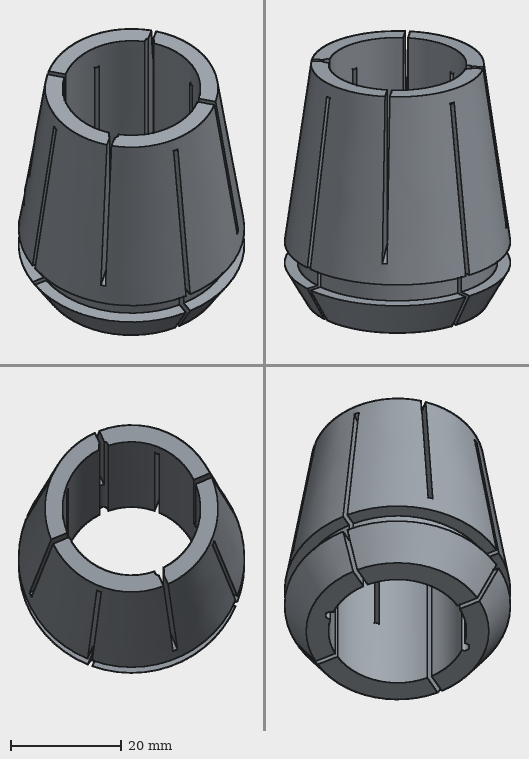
import cadquery as cq

height = 46.0
outer_radius = 20.495
top_radius = 15.7
bottom_radius = 16.55
groove_radius = 18.12
groove_bottom = 7.0
groove_top = 11.1
bore_radius = 12.5

slot_width = 0.87
top_slot_outer_end = 14.95
top_slot_inner_end = 15.75
bottom_slot_outer_end = 43.55
bottom_slot_inner_end = 40.95
slot_count = 4
slot_spacing = 360 / slot_count

bore_groove_radius = 0.87
bore_groove_center = 12.75
bore_groove_angles = (135, 315)

clearance = 2.3


def cone_radius(z):
    """Radius of the long upper taper at height z."""
    taper = (outer_radius - top_radius) / (height - groove_top)
    return top_radius + taper * (height - z)


def collet_body():
    """Double-tapered sleeve with a nut groove and a straight bore."""
    profile = [
        (bore_radius, 0),
        (bottom_radius, 0),
        (outer_radius, groove_bottom),
        (groove_radius, groove_bottom),
        (groove_radius, groove_top),
        (outer_radius, groove_top),
        (top_radius, height),
        (bore_radius, height),
    ]
    return cq.Workplane("XZ").polyline(profile).close().revolve(360, (0, 0, 0), (0, 1, 0))


def radial_slot(outer_end, inner_end, open_end, angle):
    """Cutter through one wall, from its sloped end face to the open end."""
    slope = (outer_end - inner_end) / (cone_radius(outer_end) - bore_radius)
    inside = bore_radius - clearance
    outside = outer_radius + clearance
    profile = [
        (inside, inner_end + slope * (inside - bore_radius)),
        (outside, inner_end + slope * (outside - bore_radius)),
        (outside, open_end),
        (inside, open_end),
    ]
    slot = cq.Workplane("XZ").polyline(profile).close().extrude(slot_width / 2, both=True)
    return slot.rotate((0, 0, 0), (0, 0, 1), angle)


def bore_groove(angle):
    """Cutter for a full-length round groove in the bore wall."""
    groove = cq.Workplane("XY").center(bore_groove_center, 0).circle(bore_groove_radius).extrude(height)
    return groove.rotate((0, 0, 0), (0, 0, 1), angle)


result = collet_body()

for index in range(slot_count):
    bottom_angle = index * slot_spacing
    top_angle = bottom_angle + slot_spacing / 2
    result = result.cut(
        radial_slot(bottom_slot_outer_end, bottom_slot_inner_end, -clearance, bottom_angle)
    )
    result = result.cut(
        radial_slot(top_slot_outer_end, top_slot_inner_end, height + clearance, top_angle)
    )

for groove_angle in bore_groove_angles:
    result = result.cut(bore_groove(groove_angle))